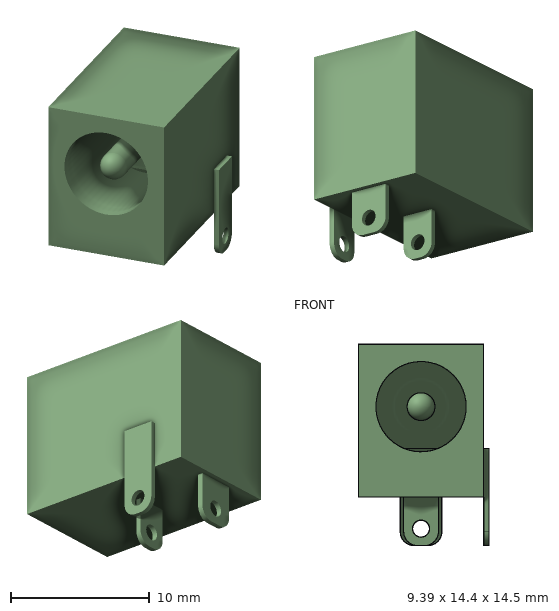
import cadquery as cq

body_width = 9.0
body_depth = 14.4
body_height = 11.0
overall_height = 14.5

bore_diameter = 6.5
bore_depth = 10.0
bore_axis_z = body_height - body_width / 2
pin_diameter = 2.0
pin_tip_depth = 0.5

terminal_thickness = 0.39
terminal_drop = overall_height - body_height
terminal_rise = 3.5
terminal_corner_radius = 1.0
terminal_hole_diameter = 1.2
terminal_hole_height = 1.22
narrow_terminal_width = 2.5
wide_terminal_width = 3.0
middle_terminal_y = 7.71
terminal_pitch = 6.0
rear_terminal_y = middle_terminal_y + terminal_pitch
side_terminal_y = middle_terminal_y + terminal_pitch / 2


def make_terminal(width):
    """Upright plate in the XZ plane, centred on Y = 0, with rounded lower corners and a hole."""
    height = terminal_drop + terminal_rise
    plate = (
        cq.Workplane("XY")
        .box(width, terminal_thickness, height, centered=(True, True, False))
        .edges("|Y and <Z")
        .fillet(terminal_corner_radius)
    )
    hole = (
        cq.Workplane("XZ")
        .center(0, terminal_hole_height)
        .circle(terminal_hole_diameter / 2)
        .extrude(terminal_thickness, both=True)
    )
    return plate.cut(hole).translate((0, 0, -terminal_drop))


def make_housing():
    """Block with a blind round bore entering from the front face."""
    block = cq.Workplane("XY").box(body_width, body_depth, body_height, centered=(True, False, False))
    bore = (
        cq.Workplane("XZ")
        .center(0, bore_axis_z)
        .circle(bore_diameter / 2)
        .extrude(-bore_depth)
    )
    return block.cut(bore)


def make_pin():
    """Round pin standing on the bore floor, with a hemispherical tip."""
    pin_radius = pin_diameter / 2
    tip_centre_y = pin_tip_depth + pin_radius
    shaft = (
        cq.Workplane("XZ", origin=(0, tip_centre_y, bore_axis_z))
        .circle(pin_radius)
        .extrude(tip_centre_y - bore_depth)
    )
    tip = (
        cq.Workplane("XY")
        .sphere(pin_radius)
        .rotate((0, 0, 0), (1, 0, 0), 90)
        .translate((0, tip_centre_y, bore_axis_z))
    )
    return shaft.union(tip)


middle_terminal = make_terminal(narrow_terminal_width).translate((0, middle_terminal_y, 0))
rear_terminal = make_terminal(wide_terminal_width).translate((0, rear_terminal_y, 0))

side_terminal = (
    make_terminal(narrow_terminal_width)
    .rotate((0, 0, 0), (0, 0, 1), 90)
    .translate((body_width / 2 + terminal_thickness / 2, side_terminal_y, 0))
)

result = (
    make_housing()
    .union(make_pin())
    .union(middle_terminal)
    .union(rear_terminal)
    .union(side_terminal)
)